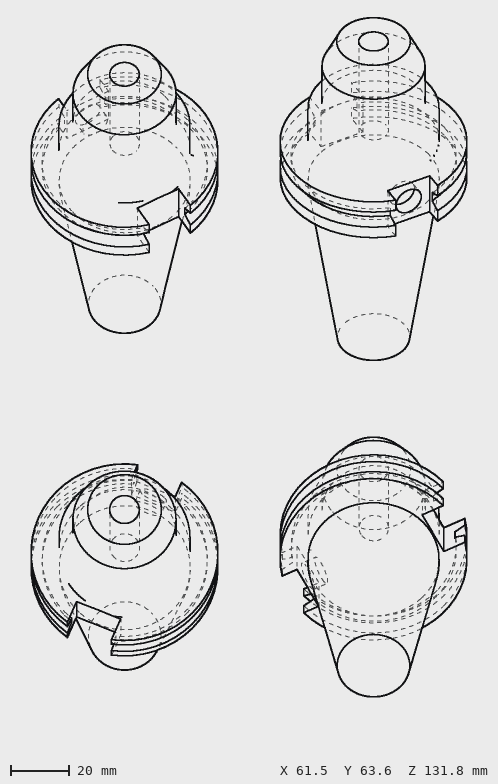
import cadquery as cq

total_height = 131.8
taper_length = 68.1
gauge_band = 3.2
flange_thickness = 16.0
collar_height = 16.3
nose_cone_height = 10.8

flange_bottom = taper_length + gauge_band
flange_top = flange_bottom + flange_thickness
collar_top = flange_top + collar_height
nose_cone_bottom = total_height - nose_cone_height

taper_ratio = 7 / 24
gauge_radius = 22.3
taper_end_radius = gauge_radius - taper_length * taper_ratio / 2
flange_radius = 31.8
collar_radius = 22.3
nose_radius = 17.5
nose_tip_radius = 12.5

root_fillet = 1.0
collar_fillet = 1.5

groove_height = flange_bottom + 8.0
groove_radius = 28.0
groove_floor_width = 3.5
groove_mouth_width = 6.7

slot_width = 16.2
slot_floor_left = 25.0
slot_floor_right = 22.7

bore_diameter = 10.0
bore_depth = 39.5
side_hole_diameter = 9.7
side_hole_depth = 5.0


def turned_body():
    """Taper, flange, collar and nose as one revolved profile in the XZ plane."""
    profile = (
        cq.Workplane("XZ")
        .lineTo(taper_end_radius, 0)
        .lineTo(gauge_radius, taper_length)
        .lineTo(gauge_radius, flange_bottom)
        .lineTo(flange_radius, flange_bottom)
        .lineTo(flange_radius, groove_height - groove_mouth_width / 2)
        .lineTo(groove_radius, groove_height - groove_floor_width / 2)
        .lineTo(groove_radius, groove_height + groove_floor_width / 2)
        .lineTo(flange_radius, groove_height + groove_mouth_width / 2)
        .lineTo(flange_radius, flange_top)
        .lineTo(collar_radius + root_fillet, flange_top)
        .radiusArc((collar_radius, flange_top + root_fillet), root_fillet)
        .lineTo(collar_radius, collar_top - collar_fillet)
        .radiusArc((collar_radius - collar_fillet, collar_top), -collar_fillet)
        .lineTo(nose_radius + root_fillet, collar_top)
        .radiusArc((nose_radius, collar_top + root_fillet), root_fillet)
        .lineTo(nose_radius, nose_cone_bottom)
        .lineTo(nose_tip_radius, total_height)
        .lineTo(0, total_height)
        .close()
    )
    return profile.revolve(360, (0, 0, 0), (0, 1, 0))


def drive_slot(side, floor_distance):
    """Block that cuts one drive slot, through the flange and the fillet at the foot of the collar.

    side is -1 for the -X slot and +1 for the +X slot.
    """
    slot_depth = flange_radius - floor_distance
    return (
        cq.Workplane("XY", origin=(side * (floor_distance + slot_depth / 2), 0, flange_bottom))
        .box(slot_depth, slot_width, flange_thickness + root_fillet, centered=(True, True, False))
    )


def nose_bore():
    """Blind bore running down from the nose face."""
    return (
        cq.Workplane("XY", origin=(0, 0, total_height - bore_depth))
        .circle(bore_diameter / 2)
        .extrude(bore_depth)
    )


def side_hole():
    """Blind hole in the floor of the -X drive slot, level with the V-groove."""
    return (
        cq.Workplane("YZ", origin=(-slot_floor_left, 0, groove_height))
        .circle(side_hole_diameter / 2)
        .extrude(side_hole_depth)
    )


result = (
    turned_body()
    .cut(drive_slot(-1, slot_floor_left))
    .cut(drive_slot(1, slot_floor_right))
    .cut(nose_bore())
    .cut(side_hole())
)